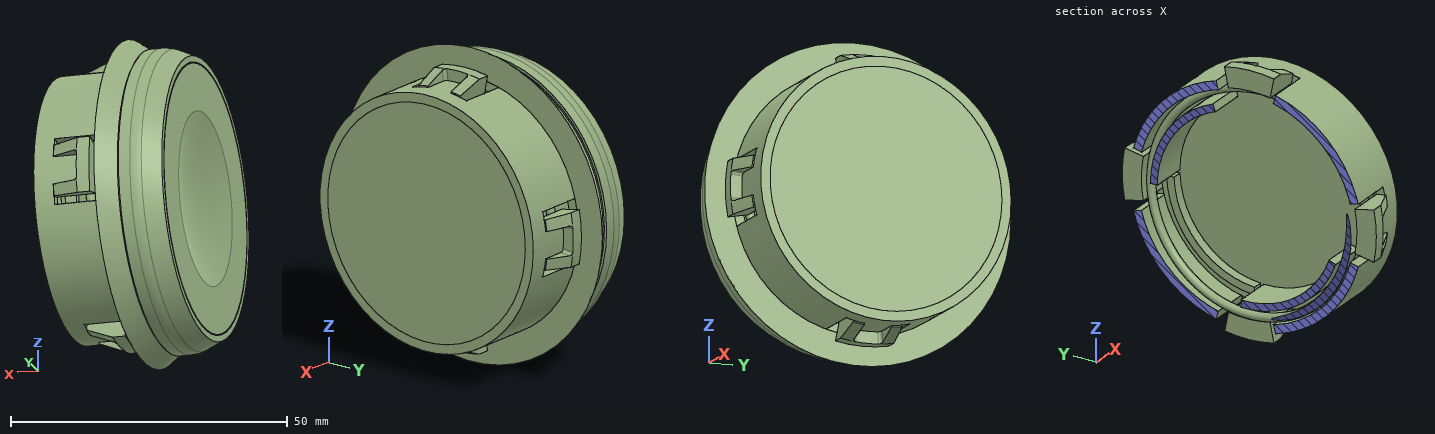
import cadquery as cq
import math


bezel_length = 7.65
bezel_radius = 55.85 / 2
bezel_front_radius = 26.05
bezel_bore_radius = 49.7 / 2
taper_end_x = 3.4
taper_end_radius = 27.55
rounding_end_x = 5.5

cap_radius = 49.35 / 2
cap_thickness = 7.2
dish_radius = 16.0
dish_depth = 2.6
skirt_inner_radius = 18.65
skirt_outer_radius = 40.4 / 2
skirt_arcs = [(0, 70), (200, 273)]

seal_neck_radius = 27.4
seal_neck_end_x = 8.0
seal_rim_radius = 30.05
seal_end_x = 11.6

housing_end_x = 24.85
barrel_radius = 49.1 / 2
barrel_bore_radius = 45.45 / 2
window_end_x = 21.05
window_half_angle = 14.7
finger_angles = [0, 90, 180, 270]
finger_half_angle = 11.2
finger_front_x = 13.6
ramp_start_x = 16.0
finger_head_radius = 26.8
ramp_end_radius = 24.85
slot_half_angle = 6.1
slot_corner_radius = 0.6
cut_margin = 0.6

base_front_x = 20.3
collar_front_x = 18.2
collar_arc = (275, 358)

wire_radius = 0.85
coil_radius = 21.65
coil_pitch = 7.0
coil_turns = 1.55
coil_start_x = 8.3


def revolve(outline):
    """Turn an (x, radius) outline a full turn about the X axis."""
    return outline.close().revolve(360, (0, 0, 0), (1, 0, 0))


def ring(x_start, x_end, inner_radius, outer_radius):
    """Plain ring along X; an inner radius of 0 makes a disc."""
    corner = cq.Workplane("XY").moveTo(x_start, inner_radius)
    return revolve(
        corner.lineTo(x_end, inner_radius).lineTo(x_end, outer_radius).lineTo(x_start, outer_radius)
    )


def sector(points, start_angle, end_angle):
    """Turn a closed (x, radius) polygon about X between two angles."""
    swept = cq.Workplane("XY").polyline(points).close()
    swept = swept.revolve(end_angle - start_angle, (0, 0, 0), (1, 0, 0))
    return swept.rotate((0, 0, 0), (1, 0, 0), start_angle)


def ring_sector(x_start, x_end, inner_radius, outer_radius, start_angle, end_angle):
    points = [
        (x_start, inner_radius),
        (x_end, inner_radius),
        (x_end, outer_radius),
        (x_start, outer_radius),
    ]
    return sector(points, start_angle, end_angle)


def make_bezel():
    return revolve(
        cq.Workplane("XY")
        .moveTo(0, bezel_bore_radius)
        .lineTo(0, bezel_front_radius)
        .lineTo(taper_end_x, taper_end_radius)
        .tangentArcPoint((rounding_end_x, bezel_radius), relative=False)
        .lineTo(bezel_length, bezel_radius)
        .lineTo(bezel_length, bezel_bore_radius)
    )


def make_cap():
    """Disc with a spherical dish in front and two curved skirt walls behind."""
    sphere_radius = (dish_radius**2 + dish_depth**2) / (2 * dish_depth)
    half_angle = math.asin(dish_radius / sphere_radius) / 2
    dish_midpoint = (
        dish_depth - sphere_radius * (1 - math.cos(half_angle)),
        sphere_radius * math.sin(half_angle),
    )
    cap = revolve(
        cq.Workplane("XY")
        .moveTo(dish_depth, 0)
        .threePointArc(dish_midpoint, (0, dish_radius))
        .lineTo(0, cap_radius)
        .lineTo(cap_thickness, cap_radius)
        .lineTo(cap_thickness, 0)
    )
    for start_angle, end_angle in skirt_arcs:
        wall = ring_sector(
            cap_thickness, base_front_x, skirt_inner_radius, skirt_outer_radius, start_angle, end_angle
        )
        cap = cap.union(wall)
    return cap


def make_seal():
    return revolve(
        cq.Workplane("XY")
        .moveTo(bezel_length, barrel_radius)
        .lineTo(bezel_length, seal_neck_radius)
        .lineTo(seal_neck_end_x, seal_neck_radius)
        .lineTo(seal_end_x, seal_rim_radius)
        .lineTo(seal_end_x, barrel_radius)
    )


def make_finger_head():
    """Head and two ramped prongs of the snap finger at angle 0, rooted inside the barrel wall."""
    root_radius = (barrel_bore_radius + barrel_radius) / 2
    outline = [
        (finger_front_x, root_radius),
        (finger_front_x, finger_head_radius),
        (ramp_start_x, finger_head_radius),
        (window_end_x, ramp_end_radius),
        (window_end_x, root_radius),
    ]
    head = sector(outline, -finger_half_angle, finger_half_angle)
    slot = ring_sector(
        ramp_start_x,
        window_end_x + cut_margin,
        barrel_bore_radius,
        finger_head_radius + cut_margin,
        -slot_half_angle,
        slot_half_angle,
    )
    slot = slot.faces("<X").edges("%LINE").fillet(slot_corner_radius)
    return head.cut(slot)


def make_window_cuts():
    """U-shaped opening at angle 0: a strip in front of the finger and a gap along each side."""
    inner_radius = barrel_bore_radius - cut_margin
    outer_radius = barrel_radius + cut_margin
    spans = [
        (finger_front_x, -window_half_angle, window_half_angle),
        (window_end_x, -window_half_angle, -finger_half_angle),
        (window_end_x, finger_half_angle, window_half_angle),
    ]
    return [
        ring_sector(seal_end_x, end_x, inner_radius, outer_radius, start_angle, end_angle)
        for end_x, start_angle, end_angle in spans
    ]


def make_housing():
    housing = ring(bezel_length, housing_end_x, barrel_bore_radius, barrel_radius)
    window_cuts = make_window_cuts()
    head = make_finger_head()
    for angle in finger_angles:
        for window_cut in window_cuts:
            housing = housing.cut(window_cut.rotate((0, 0, 0), (1, 0, 0), angle))
        housing = housing.union(head.rotate((0, 0, 0), (1, 0, 0), angle))
    return housing


def make_base():
    """Plate closing the barrel, with a collar arc in front of it."""
    base = ring(base_front_x, housing_end_x, 0, barrel_bore_radius)
    collar = ring_sector(
        collar_front_x, base_front_x, skirt_inner_radius, skirt_outer_radius, *collar_arc
    )
    return base.union(collar)


def make_spring():
    """Round-wire coil starting at +Y and turning towards +Z."""
    path = cq.Wire.makeHelix(
        coil_pitch, coil_pitch * coil_turns, coil_radius, cq.Vector(0, 0, 0), cq.Vector(0, 0, 1)
    )
    wire_section = cq.Workplane("XZ").center(coil_radius, 0).circle(wire_radius)
    coil = wire_section.sweep(cq.Workplane(obj=path), isFrenet=True)
    third_of_turn = 120
    coil = coil.rotate((0, 0, 0), (1, 1, 1), third_of_turn)
    return coil.translate((coil_start_x, 0, 0))


bezel = make_bezel()
cap = make_cap()
seal = make_seal()
housing = make_housing()
base = make_base()
spring = make_spring()

result = cq.Compound.makeCompound(
    [bezel.val(), cap.val(), seal.val(), housing.val(), base.val(), spring.val()]
)